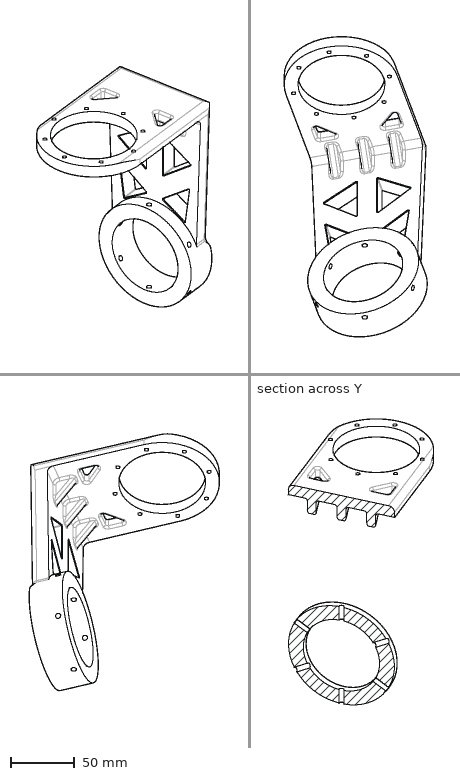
import cadquery as cq
import math

HEIGHT = 193.0
DEPTH = 140.0
RING_RADIUS = 45.0

PLATE_THICKNESS = 10.0
WALL_THICKNESS = 15.0
CORNER_RADIUS = 5.0
PLATE_BOTTOM = HEIGHT - PLATE_THICKNESS

RING_CENTER_Z = RING_RADIUS
RING_DEPTH = 27.5
RING_BORE_RADIUS = 32.0
SCREW_HOLE_DIAMETER = 4.0
SCREW_HOLE_COUNT = 6
SCREW_HOLE_Y = -22.0

WALL_TOP_HALF = RING_RADIUS
WALL_FOOT_HALF = 40.3

OPENING_RADIUS = 34.0
OPENING_Y = RING_RADIUS - DEPTH
BOLT_CIRCLE_RADIUS = 38.8
BOLT_HOLE_DIAMETER = 3.0
BOLT_HOLE_COUNT = 8

PLATE_WINDOW_SIDE_X = 33.8
PLATE_WINDOW_BACK_Y = -37.6
PLATE_WINDOW_LEG = 17.8
PLATE_WINDOW_ROUND = 2.0

UPPER_WINDOW = [(8.3, 153.5), (35.1, 136.7), (8.3, 116.5)]
LOWER_WINDOW = [(33.8, 113.5), (8.0, 94.4), (29.5, 81.0)]
WALL_WINDOW_ROUND = 0.4
WALL_WINDOW_BEVEL = 0.5

RIB_PITCH = 25.0
RIB_WIDTH = 8.0
RIB_REACH = 17.2
RIB_DROP = 22.0
RIB_ROUND = 2.0
RIB_BLEND = 2.0

SELECT_MARGIN = 0.2


def ring_blend():
    """Arc joining the wall side to the ring: its wall end, middle and ring end as (x, z)."""
    taper = math.atan2(WALL_TOP_HALF - WALL_FOOT_HALF, PLATE_BOTTOM - RING_CENTER_Z)
    outward = (math.cos(taper), -math.sin(taper))
    upward = (math.sin(taper), math.cos(taper))
    center_distance = RING_RADIUS + CORNER_RADIUS
    across = WALL_FOOT_HALF * math.cos(taper) + CORNER_RADIUS
    along = math.sqrt(center_distance**2 - across**2)
    offset_x = across * outward[0] + along * upward[0]
    offset_z = across * outward[1] + along * upward[1]
    center = (offset_x, RING_CENTER_Z + offset_z)

    def on_arc(angle):
        return (
            center[0] + CORNER_RADIUS * math.cos(angle),
            center[1] + CORNER_RADIUS * math.sin(angle),
        )

    wall_angle = math.pi - taper
    ring_angle = math.pi + math.atan2(offset_z, offset_x)
    middle_angle = (wall_angle + ring_angle) / 2
    return on_arc(wall_angle), on_arc(middle_angle), on_arc(ring_angle)


BLEND_WALL, BLEND_MIDDLE, BLEND_RING = ring_blend()


def both_sides(solid):
    """The solid together with its mirror image across x = 0."""
    return solid.union(solid.mirror("YZ"))


def front_plane():
    """Workplane on the back face whose local axes are X and Z; extruding goes towards -Y."""
    return cq.Workplane("XZ")


def top_plate():
    outline = (
        cq.Workplane("XY", origin=(0, 0, PLATE_BOTTOM))
        .moveTo(-RING_RADIUS, 0)
        .lineTo(-RING_RADIUS, OPENING_Y)
        .threePointArc((0, -DEPTH), (RING_RADIUS, OPENING_Y))
        .lineTo(RING_RADIUS, 0)
        .close()
        .extrude(PLATE_THICKNESS)
    )
    block = (
        cq.Workplane("XY", origin=(0, 0, PLATE_BOTTOM))
        .rect(2 * RING_RADIUS, 2 * DEPTH)
        .extrude(PLATE_THICKNESS)
    )
    side_rounds = block.edges("|Y and >Z").fillet(CORNER_RADIUS)
    back_block = block.translate((0, -DEPTH, 0))
    back_round = back_block.edges("|X and >Z and >Y").fillet(CORNER_RADIUS)
    return outline.intersect(side_rounds).intersect(back_round)


def wall():
    half = (
        front_plane()
        .moveTo(0, PLATE_BOTTOM)
        .lineTo(WALL_TOP_HALF, PLATE_BOTTOM)
        .lineTo(*BLEND_WALL)
        .threePointArc(BLEND_MIDDLE, BLEND_RING)
        .lineTo(0, RING_CENTER_Z)
        .close()
        .extrude(WALL_THICKNESS)
    )
    return both_sides(half)


def rib(x):
    """Triangular rib sunk into the wall and plate, with a rounded sloping face."""
    sink = CORNER_RADIUS
    slope = RIB_DROP / RIB_REACH
    back_y = -WALL_THICKNESS + sink
    top_z = PLATE_BOTTOM + sink
    tip_y = -WALL_THICKNESS - RIB_REACH - sink / slope
    foot_z = PLATE_BOTTOM - RIB_DROP - sink * slope
    return (
        cq.Workplane("YZ", origin=(x, 0, 0))
        .polyline([(back_y, top_z), (tip_y, top_z), (back_y, foot_z)])
        .close()
        .extrude(RIB_WIDTH / 2, both=True)
        .edges("not (|X or |Y or |Z)")
        .fillet(RIB_ROUND)
    )


def rib_foot_edges(x):
    """Selector for the edges where one rib meets the wall, the plate and the corner between them."""
    reach_x = RIB_WIDTH / 2 + SELECT_MARGIN
    wall_y = -WALL_THICKNESS + SELECT_MARGIN
    top_z = PLATE_BOTTOM + SELECT_MARGIN
    on_wall = cq.selectors.BoxSelector(
        (x - reach_x, -WALL_THICKNESS - CORNER_RADIUS - SELECT_MARGIN, RING_CENTER_Z),
        (x + reach_x, wall_y, top_z),
        boundingbox=True,
    )
    on_plate = cq.selectors.BoxSelector(
        (x - reach_x, -DEPTH, PLATE_BOTTOM - SELECT_MARGIN),
        (x + reach_x, wall_y, top_z),
        boundingbox=True,
    )
    return on_wall + on_plate


def ribbed_bracket():
    inner_corner = cq.selectors.NearestToPointSelector((0, -WALL_THICKNESS, PLATE_BOTTOM))
    bracket = top_plate().union(wall()).edges(inner_corner).fillet(CORNER_RADIUS)
    for x in (-RIB_PITCH, 0, RIB_PITCH):
        bracket = bracket.union(rib(x)).edges(rib_foot_edges(x)).fillet(RIB_BLEND)
    return bracket


def cut_plate_windows(body):
    window = (
        cq.Workplane("XY", origin=(0, 0, PLATE_BOTTOM))
        .moveTo(PLATE_WINDOW_SIDE_X, PLATE_WINDOW_BACK_Y)
        .lineTo(PLATE_WINDOW_SIDE_X - PLATE_WINDOW_LEG, PLATE_WINDOW_BACK_Y)
        .lineTo(PLATE_WINDOW_SIDE_X, PLATE_WINDOW_BACK_Y - PLATE_WINDOW_LEG)
        .close()
        .extrude(PLATE_THICKNESS)
        .edges("|Z")
        .fillet(PLATE_WINDOW_ROUND)
    )
    body = body.cut(both_sides(window))
    reach_x = PLATE_WINDOW_SIDE_X + SELECT_MARGIN
    front_y = PLATE_WINDOW_BACK_Y - PLATE_WINDOW_LEG
    back_y = PLATE_WINDOW_BACK_Y + SELECT_MARGIN
    for z in (HEIGHT, PLATE_BOTTOM):
        rims = cq.selectors.BoxSelector(
            (-reach_x, front_y, z - SELECT_MARGIN),
            (reach_x, back_y, z + SELECT_MARGIN),
            boundingbox=True,
        )
        body = body.edges(rims).fillet(PLATE_WINDOW_ROUND)
    return body


def cut_wall_windows(body):
    for corners in (UPPER_WINDOW, LOWER_WINDOW):
        window = front_plane().polyline(corners).close().extrude(WALL_THICKNESS)
        window = window.edges("|Y").fillet(WALL_WINDOW_ROUND)
        body = body.cut(both_sides(window))
    widest_x = max(x for x, z in UPPER_WINDOW) + SELECT_MARGIN
    lowest_z = min(z for x, z in LOWER_WINDOW) - SELECT_MARGIN
    highest_z = max(z for x, z in UPPER_WINDOW) + SELECT_MARGIN
    front_rims = cq.selectors.BoxSelector(
        (-widest_x, -WALL_THICKNESS - SELECT_MARGIN, lowest_z),
        (widest_x, -WALL_THICKNESS + SELECT_MARGIN, highest_z),
        boundingbox=True,
    )
    return body.edges(front_rims).chamfer(WALL_WINDOW_BEVEL)


def clamp_ring():
    return front_plane().center(0, RING_CENTER_Z).circle(RING_RADIUS).extrude(RING_DEPTH)


def edge_waste(workplane):
    """Sketch of what is removed to round a back edge; local x points outward, local y to the back."""
    inset = CORNER_RADIUS * (1 - math.sqrt(0.5))
    return (
        workplane.moveTo(-CORNER_RADIUS, 0)
        .threePointArc((-inset, -inset), (0, -CORNER_RADIUS))
        .lineTo(CORNER_RADIUS, -CORNER_RADIUS)
        .lineTo(CORNER_RADIUS, CORNER_RADIUS)
        .lineTo(-CORNER_RADIUS, CORNER_RADIUS)
        .close()
    )


def round_back_edges(body):
    """Round the back edges of the plate and wall sides, fading out around the blend into the ring."""
    rise = (WALL_TOP_HALF - BLEND_WALL[0], 0, PLATE_BOTTOM - BLEND_WALL[1])
    outward = (rise[2], 0, -rise[0])
    wall_end = cq.Plane(origin=(BLEND_WALL[0], 0, BLEND_WALL[1]), xDir=outward, normal=rise)
    blend_axis = (CORNER_RADIUS, 0), (CORNER_RADIUS, 1)

    along_wall = edge_waste(cq.Workplane(wall_end)).extrude(HEIGHT)
    around_blend = edge_waste(cq.Workplane(wall_end)).revolve(360, *blend_axis)
    for waste in (along_wall, around_blend):
        body = body.cut(waste).cut(waste.mirror("YZ"))
    return body


def cut_plate_opening(body):
    opening = cq.Workplane("XY", origin=(0, OPENING_Y, PLATE_BOTTOM)).circle(OPENING_RADIUS)
    bolt_holes = (
        cq.Workplane("XY", origin=(0, OPENING_Y, PLATE_BOTTOM))
        .polarArray(BOLT_CIRCLE_RADIUS, 0, 360, BOLT_HOLE_COUNT)
        .circle(BOLT_HOLE_DIAMETER / 2)
    )
    return body.cut(opening.extrude(PLATE_THICKNESS)).cut(bolt_holes.extrude(PLATE_THICKNESS))


def cut_ring_holes(body):
    bore = front_plane().center(0, RING_CENTER_Z).circle(RING_BORE_RADIUS).extrude(RING_DEPTH)
    body = body.cut(bore)
    ring_center = (0, SCREW_HOLE_Y, RING_CENTER_Z)
    screw_hole = (
        cq.Workplane("XY", origin=ring_center)
        .circle(SCREW_HOLE_DIAMETER / 2)
        .extrude(RING_RADIUS)
    )
    for index in range(SCREW_HOLE_COUNT):
        angle = index * 360 / SCREW_HOLE_COUNT
        body = body.cut(screw_hole.rotate(ring_center, (0, 0, RING_CENTER_Z), angle))
    return body


result = ribbed_bracket()
result = cut_plate_windows(result)
result = cut_wall_windows(result)
result = result.union(clamp_ring())
result = round_back_edges(result)
result = cut_plate_opening(result)
result = cut_ring_holes(result)